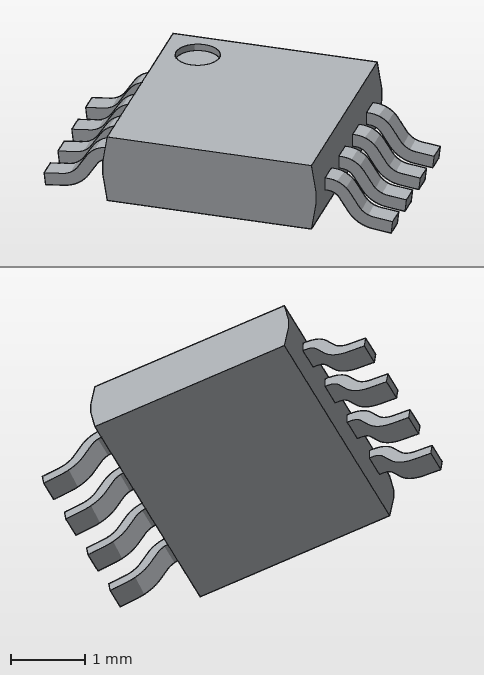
import cadquery as cq
import math

overall_length = 4.9
body_width = 3.0
body_depth = 3.1
body_height = 0.97
lead_thickness = 0.18
band_height = lead_thickness
taper_inset = 0.065

marker_radius = 0.305
marker_depth = 0.1
marker_inset_x = 0.56
marker_inset_y = 0.495

leads_per_side = 4
lead_pitch = 0.65
lead_width = 0.3
shoulder_length = 0.035
upper_inner_radius = 0.2
lower_inner_radius = 0.3
shank_length = 0.22
shank_angle = 57.0
foot_angle = 6.5

half_width = body_width / 2
half_height = body_height / 2
half_band = band_height / 2
half_taper_width = half_width - taper_inset


def make_housing():
    profile = [
        (half_taper_width, half_height),
        (half_width, half_band),
        (half_width, -half_band),
        (half_taper_width, -half_height),
        (-half_taper_width, -half_height),
        (-half_width, -half_band),
        (-half_width, half_band),
        (-half_taper_width, half_height),
    ]
    block = cq.Workplane("XZ").polyline(profile).close().extrude(body_depth / 2, both=True)
    marker_x = -half_width + marker_inset_x
    marker_y = body_depth / 2 - marker_inset_y
    marker = (
        cq.Workplane("XY", origin=(marker_x, marker_y, half_height - marker_depth))
        .circle(marker_radius)
        .extrude(marker_depth)
    )
    return block.cut(marker)


def step(point, distance, angle):
    """Move a point outwards along a line that falls at the given angle below horizontal."""
    slope = math.radians(angle)
    return (point[0] + distance * math.cos(slope), point[1] - distance * math.sin(slope))


def rise(point, distance, angle):
    """Move a point square to a line that falls at the given angle, upwards if positive."""
    return step(point, distance, angle - 90)


def make_lead(y):
    """Lead on the +X side, centred at the given Y and butting against the body band."""
    upper_outer_radius = upper_inner_radius + lead_thickness
    lower_outer_radius = lower_inner_radius + lead_thickness
    upper_center = (half_width + shoulder_length, half_band - upper_outer_radius)
    shank_top = rise(upper_center, upper_outer_radius, shank_angle)
    shank_end = step(shank_top, shank_length, shank_angle)
    lower_center = rise(shank_end, lower_inner_radius, shank_angle)

    upper_mid_angle = shank_angle / 2
    lower_mid_angle = (shank_angle + foot_angle) / 2

    foot_start = rise(lower_center, -lower_inner_radius, foot_angle)
    foot_length = (overall_length / 2 - foot_start[0]) / math.cos(math.radians(foot_angle))
    toe_top = step(foot_start, foot_length, foot_angle)
    toe_bottom = rise(toe_top, -lead_thickness, foot_angle)

    outline = (
        cq.Workplane("XZ", origin=(0, y, 0))
        .moveTo(half_width, half_band)
        .lineTo(upper_center[0], half_band)
        .threePointArc(rise(upper_center, upper_outer_radius, upper_mid_angle), shank_top)
        .lineTo(*shank_end)
        .threePointArc(rise(lower_center, -lower_inner_radius, lower_mid_angle), foot_start)
        .lineTo(*toe_top)
        .lineTo(*toe_bottom)
        .lineTo(*rise(lower_center, -lower_outer_radius, foot_angle))
        .threePointArc(
            rise(lower_center, -lower_outer_radius, lower_mid_angle),
            rise(lower_center, -lower_outer_radius, shank_angle),
        )
        .lineTo(*rise(upper_center, upper_inner_radius, shank_angle))
        .threePointArc(
            rise(upper_center, upper_inner_radius, upper_mid_angle),
            (upper_center[0], -half_band),
        )
        .lineTo(half_width, -half_band)
        .close()
    )
    return outline.extrude(lead_width / 2, both=True)


housing = make_housing()

leads = []
for index in range(leads_per_side):
    lead_y = (index - (leads_per_side - 1) / 2) * lead_pitch
    right_lead = make_lead(lead_y)
    leads.append(right_lead.val())
    leads.append(right_lead.mirror("YZ").val())

result = cq.Compound.makeCompound([housing.val(), *leads])